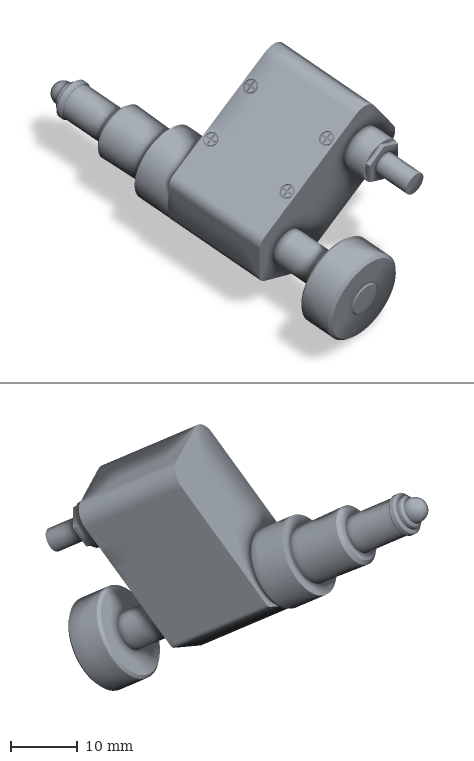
import cadquery as cq
import math

tilt = 28.5

housing_start = 28.9
housing_length = 18.6
housing_end = housing_start + housing_length
half_thickness = 7.5
far_end = 24.5
front_offset = 6.0
belly_offset = 5.8
far_corner_radius = 3.0
front_corner_radius = 2.0
belly_corner_radius = 0.95
cover_wall = 0.75

screw_end_margin = 1.5
screw_near = 6.1
screw_far = 16.05
screw_rim_radius = 1.2
screw_head_radius = 0.95
screw_recess_depth = 0.25
screw_slot_width = 0.3

collar_radius = 6.5
collar_start = 22.4
collar_back_length = 0.5
collar_back_radius = 6.3
nose_start = 12.8
nose_chamfer = 0.6
nose_radius = 4.75
neck_radius = 4.6
neck_length = 0.8

gland_along = 18.6
gland_radius = 3.75
gland_length = 4.05
nut_corner_radius = 3.6
nut_length = 0.75
cable_radius = 1.9
cable_length = 6.3

overall_length = 63.5
shaft_radius = 3.05
ball_radius = 2.0
ball_neck_end = 2.5
step_radius = 2.55
step_chamfer = 0.25
ring_start = 3.35
ring_length = 1.15
ring_radius = 3.3
ring_chamfer = 0.2
shaft_end_chamfer = 0.5

knob_start = 57.0
knob_length = 6.3
knob_radius = 7.5
knob_edge = 0.45


def revolve_on_axis(outline):
    """Turn an (X, radius) outline about the spindle axis."""
    return outline.close().revolve(360, (0, 0, 0), (1, 0, 0))


def line_crossing(normal_a, offset_a, normal_b, offset_b):
    """Point (Y, Z) where two lines, given by outward normal angle and offset, cross."""
    ay, az = math.cos(math.radians(normal_a)), math.sin(math.radians(normal_a))
    by, bz = math.cos(math.radians(normal_b)), math.sin(math.radians(normal_b))
    det = ay * bz - az * by
    return ((offset_a * bz - offset_b * az) / det, (offset_b * ay - offset_a * by) / det)


def section_prism(inset):
    """Housing section, moved inward by the inset, along the housing length."""
    sides = [
        (tilt, far_end),
        (tilt + 90, half_thickness),
        (180, front_offset),
        (270 - tilt, belly_offset),
        (tilt - 90, half_thickness),
    ]
    radii = [far_corner_radius, far_corner_radius, front_corner_radius,
             front_corner_radius, belly_corner_radius]
    corners = []
    for i, (normal, offset) in enumerate(sides):
        last_normal, last_offset = sides[i - 1]
        corners.append(line_crossing(last_normal, last_offset - inset, normal, offset - inset))
    prism = cq.Workplane("YZ", origin=(housing_start, 0, 0)).polyline(corners).close()
    prism = prism.extrude(housing_length)
    for corner, radius in zip(corners, radii):
        near_edge = cq.selectors.NearestToPointSelector(
            (housing_start + housing_length / 2, corner[0], corner[1]))
        prism = prism.edges("|X").edges(near_edge).fillet(radius - inset)
    return prism


def make_screw_cut():
    """Ring groove and cross slot of one screw head, pointing down from Z = 0."""
    groove = cq.Workplane("XY").circle(screw_rim_radius).circle(screw_head_radius)
    cut = groove.extrude(-screw_recess_depth)
    slot_length = screw_head_radius + screw_rim_radius
    for slot_angle in (0, 90):
        slot = cq.Workplane("XY").rect(slot_length, screw_slot_width)
        cut = cut.union(slot.extrude(-screw_recess_depth).rotate((0, 0, 0), (0, 0, 1), slot_angle))
    return cut


def make_cover():
    """Open-ended sheath around the core, with four screw heads on its upper face."""
    cover = section_prism(0).cut(section_prism(cover_wall))
    for x in (housing_start + screw_end_margin, housing_end - screw_end_margin):
        for along in (screw_near, screw_far):
            screw_cut = make_screw_cut().translate((x, along, half_thickness))
            cover = cover.cut(screw_cut.rotate((0, 0, 0), (1, 0, 0), tilt))
    return cover


def make_sleeve():
    """Tapered nose, short neck and collar, as a solid turned shape."""
    chamfer_end = nose_start + nose_chamfer
    outline = (
        cq.Workplane("XY")
        .moveTo(nose_start, 0)
        .lineTo(nose_start, nose_radius - nose_chamfer)
        .lineTo(chamfer_end, nose_radius)
        .lineTo(collar_start - neck_length, neck_radius)
        .lineTo(collar_start, neck_radius)
        .lineTo(collar_start, collar_radius)
        .lineTo(housing_start - collar_back_length, collar_radius)
        .lineTo(housing_start, collar_back_radius)
        .lineTo(housing_start, 0)
    )
    return revolve_on_axis(outline)


def make_gland():
    """Cable gland, six-sided nut and cable on the back of the core."""
    gland_y = gland_along * math.cos(math.radians(tilt))
    gland_z = gland_along * math.sin(math.radians(tilt))
    gland = cq.Workplane("YZ", origin=(housing_end, gland_y, gland_z)).circle(gland_radius)
    gland = gland.extrude(gland_length)
    nut = gland.faces(">X").workplane().transformed(rotate=(0, 0, 90))
    gland = nut.polygon(6, 2 * nut_corner_radius).extrude(nut_length)
    return gland.faces(">X").workplane().circle(cable_radius).extrude(cable_length)


def make_core():
    """Core that fills the cover, with the sleeve in front and the gland behind."""
    bore = cq.Workplane("YZ", origin=(nose_start, 0, 0)).circle(shaft_radius)
    core = section_prism(cover_wall).union(make_sleeve()).union(make_gland())
    return core.cut(bore.extrude(housing_end - nose_start))


def make_spindle():
    """Shaft from the ball tip, past its end ring and through the housing, to the knob."""
    ball_bend = ball_radius * math.sqrt(0.5)
    ring_end = ring_start + ring_length
    outline = (
        cq.Workplane("XY")
        .moveTo(0, 0)
        .threePointArc((ball_radius - ball_bend, ball_bend), (ball_radius, ball_radius))
        .lineTo(ball_neck_end, ball_radius)
        .lineTo(ball_neck_end, step_radius - step_chamfer)
        .lineTo(ball_neck_end + step_chamfer, step_radius)
        .lineTo(ring_start, step_radius)
        .lineTo(ring_start, ring_radius - ring_chamfer)
        .lineTo(ring_start + ring_chamfer, ring_radius)
        .lineTo(ring_end - ring_chamfer, ring_radius)
        .lineTo(ring_end, ring_radius - ring_chamfer)
        .lineTo(ring_end, shaft_radius)
        .lineTo(overall_length - shaft_end_chamfer, shaft_radius)
        .lineTo(overall_length, shaft_radius - shaft_end_chamfer)
        .lineTo(overall_length, 0)
    )
    return revolve_on_axis(outline)


def make_knob():
    """Chamfered knob that fits around the end of the spindle."""
    knob = cq.Workplane("YZ", origin=(knob_start, 0, 0)).circle(knob_radius).extrude(knob_length)
    knob = knob.edges().chamfer(knob_edge)
    return knob.cut(make_spindle())


cover = make_cover()
core = make_core()
spindle = make_spindle()
knob = make_knob()

result = cq.Compound.makeCompound([cover.val(), core.val(), spindle.val(), knob.val()])